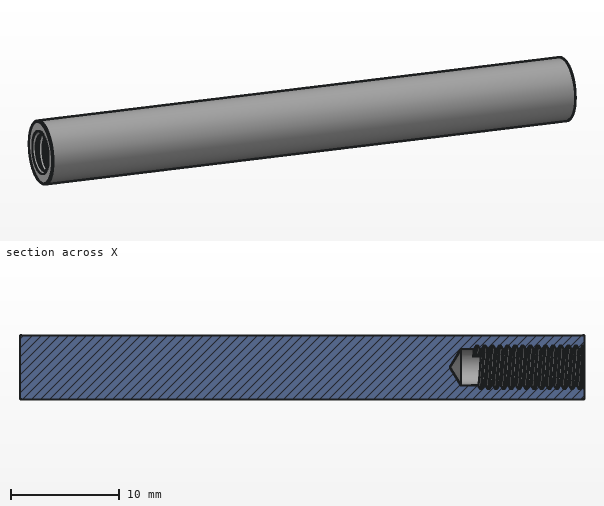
import cadquery as cq
import math

rod_diameter = 5.95
rod_length = 52.0
edge_chamfer = 0.1
front_y = -rod_length / 2

thread_major_diameter = 4.0
hole_minor_diameter = 3.3
thread_pitch = 0.7
thread_depth = 10.0
unthreaded_length = 2 * thread_pitch
drill_tip_angle = 118.0
mouth_chamfer_depth = 0.2

groove_mouth_width = thread_pitch * 3 / 4
groove_root_width = thread_pitch / 8
groove_overlap = 0.05
start_angle = 220.0

major_radius = thread_major_diameter / 2
minor_radius = hole_minor_diameter / 2


def make_rod():
    """Solid cylinder with a small chamfer around both ends."""
    rod = cq.Workplane("XZ", origin=(0, front_y, 0)).circle(rod_diameter / 2).extrude(-rod_length)
    return rod.faces("<Y or >Y").edges().chamfer(edge_chamfer)


def make_hole():
    """Drilled hole with a countersunk mouth and a conical bottom."""
    bore_end = front_y + thread_depth + unthreaded_length
    tip_length = minor_radius / math.tan(math.radians(drill_tip_angle / 2))
    profile = [
        (0, front_y),
        (major_radius, front_y),
        (minor_radius, front_y + mouth_chamfer_depth),
        (minor_radius, bore_end),
        (0, bore_end + tip_length),
    ]
    return cq.Workplane("XY").polyline(profile).close().revolve(360, (0, 0), (0, 1))


def make_thread_groove():
    """Right-hand helical groove that starts one pitch outside the rod's end face."""
    flank_slope = (groove_mouth_width - groove_root_width) / 2 / (major_radius - minor_radius)
    inner_radius = minor_radius - groove_overlap
    inner_half_width = groove_mouth_width / 2 + groove_overlap * flank_slope
    root_half_width = groove_root_width / 2
    helix = cq.Wire.makeHelix(thread_pitch, thread_depth + thread_pitch, minor_radius)
    profile = [
        (inner_radius, -inner_half_width),
        (major_radius, -root_half_width),
        (major_radius, root_half_width),
        (inner_radius, inner_half_width),
    ]
    groove = cq.Workplane("XZ").polyline(profile).close().sweep(cq.Workplane(helix), isFrenet=True)
    groove = groove.rotate((0, 0, 0), (0, 0, 1), start_angle)
    return groove.rotate((0, 0, 0), (1, 0, 0), -90).translate((0, front_y - thread_pitch, 0))


result = make_rod().cut(make_hole()).cut(make_thread_groove())